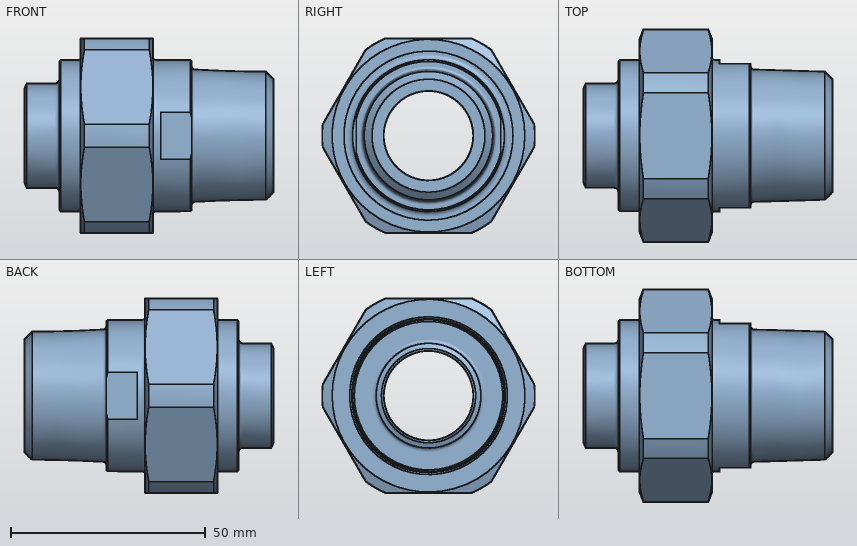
import cadquery as cq
import math

nut_start = 14.4
nut_length = 18.7
nut_end = nut_start + nut_length
total_length = 64.0

bore_diameter = 22.9

spigot_diameter = 26.9
spigot_tip_diameter = 24.2
spigot_chamfer_length = 0.65
spigot_fillet = 1.0
shoulder_start = 8.95
shoulder_diameter = 39.0
shoulder_chamfer = 0.45
flange_diameter = 43.0
flange_length = 3.85

across_flats = 50.0
nut_corner_diameter = 54.65
nut_face_diameter = 49.5
nut_chamfer_length = 1.0
lip_diameter = 39.5
lip_length = 3.85
lip_chamfer = 0.5
nut_bore_diameter = 43.4

collar_recess = 0.6
body_diameter = 39.0
body_end = 43.0
body_chamfer = 0.45
body_fillet = 1.35
flat_start = 35.0
flat_spacing = 37.05
tail_fillet = 0.8
tail_root_diameter = 34.05
tail_tip_diameter = 32.95
tail_chamfer = 2.0

flange_start = nut_start + lip_length
flange_end = flange_start + flange_length
collar_end = nut_end - collar_recess

quarter_turn = 90
DIAGONAL = math.sqrt(0.5)


def revolve_about_x(profile):
    """Turn a closed (x, radius) profile around the X axis."""
    return profile.close().revolve(360, (0, 0, 0), (1, 0, 0))


def arc_middle(center_x, center_radius, arc_radius, x_side):
    """Middle of a concave quarter fillet that faces the axis."""
    return (center_x + x_side * arc_radius * DIAGONAL, center_radius - arc_radius * DIAGONAL)


def make_plain_end():
    spigot_radius = spigot_diameter / 2
    shoulder_radius = shoulder_diameter / 2
    fillet_x = shoulder_start - spigot_fillet
    fillet_radius = spigot_radius + spigot_fillet
    profile = (
        cq.Workplane("XY")
        .moveTo(0, bore_diameter / 2)
        .lineTo(0, spigot_tip_diameter / 2)
        .lineTo(spigot_chamfer_length, spigot_radius)
        .lineTo(fillet_x, spigot_radius)
        .threePointArc(arc_middle(fillet_x, fillet_radius, spigot_fillet, 1), (shoulder_start, fillet_radius))
        .lineTo(shoulder_start, shoulder_radius - shoulder_chamfer)
        .lineTo(shoulder_start + shoulder_chamfer, shoulder_radius)
        .lineTo(flange_start, shoulder_radius)
        .lineTo(flange_start, flange_diameter / 2)
        .lineTo(flange_end, flange_diameter / 2)
        .lineTo(flange_end, bore_diameter / 2)
    )
    return revolve_about_x(profile)


def make_nut():
    corner_radius = nut_corner_diameter / 2
    face_radius = nut_face_diameter / 2
    lip_radius = lip_diameter / 2
    turned_profile = (
        cq.Workplane("XY")
        .moveTo(nut_start, lip_radius + lip_chamfer)
        .lineTo(nut_start, face_radius)
        .lineTo(nut_start + nut_chamfer_length, corner_radius)
        .lineTo(nut_end - nut_chamfer_length, corner_radius)
        .lineTo(nut_end, face_radius)
        .lineTo(nut_end, nut_bore_diameter / 2)
        .lineTo(flange_start, nut_bore_diameter / 2)
        .lineTo(flange_start, lip_radius)
        .lineTo(nut_start + lip_chamfer, lip_radius)
    )
    hexagon = (
        cq.Workplane("YZ", origin=(nut_start, 0, 0))
        .polygon(6, across_flats, circumscribed=True)
        .extrude(nut_length)
        .rotate((0, 0, 0), (1, 0, 0), quarter_turn)
    )
    return hexagon.intersect(revolve_about_x(turned_profile))


def make_threaded_end():
    bore_radius = bore_diameter / 2
    body_radius = body_diameter / 2
    tail_root_radius = tail_root_diameter / 2
    tail_tip_radius = tail_tip_diameter / 2
    body_fillet_x = collar_end + body_fillet
    body_fillet_radius = body_radius + body_fillet
    tail_fillet_x = body_end + tail_fillet
    tail_fillet_radius = tail_root_radius + tail_fillet
    profile = (
        cq.Workplane("XY")
        .moveTo(flange_end, bore_radius)
        .lineTo(flange_end, nut_bore_diameter / 2)
        .lineTo(collar_end, nut_bore_diameter / 2)
        .lineTo(collar_end, body_fillet_radius)
        .threePointArc(
            arc_middle(body_fillet_x, body_fillet_radius, body_fillet, -1),
            (body_fillet_x, body_radius),
        )
        .lineTo(body_end - body_chamfer, body_radius)
        .lineTo(body_end, body_radius - body_chamfer)
        .lineTo(body_end, tail_fillet_radius)
        .threePointArc(
            arc_middle(tail_fillet_x, tail_fillet_radius, tail_fillet, -1),
            (tail_fillet_x, tail_root_radius),
        )
        .lineTo(total_length - tail_chamfer, tail_tip_radius)
        .lineTo(total_length, tail_tip_radius - tail_chamfer)
        .lineTo(total_length, bore_radius)
    )
    threaded_end = revolve_about_x(profile)

    for side in (-1, 1):
        flat_cut = cq.Workplane("XY").box(
            body_end - flat_start, body_diameter, body_diameter, centered=(False, True, True)
        )
        cut_center_y = side * (flat_spacing + body_diameter) / 2
        threaded_end = threaded_end.cut(flat_cut.translate((flat_start, cut_center_y, 0)))
    return threaded_end


plain_end = make_plain_end()
nut = make_nut()
threaded_end = make_threaded_end()

result = cq.Compound.makeCompound([plain_end.val(), nut.val(), threaded_end.val()])